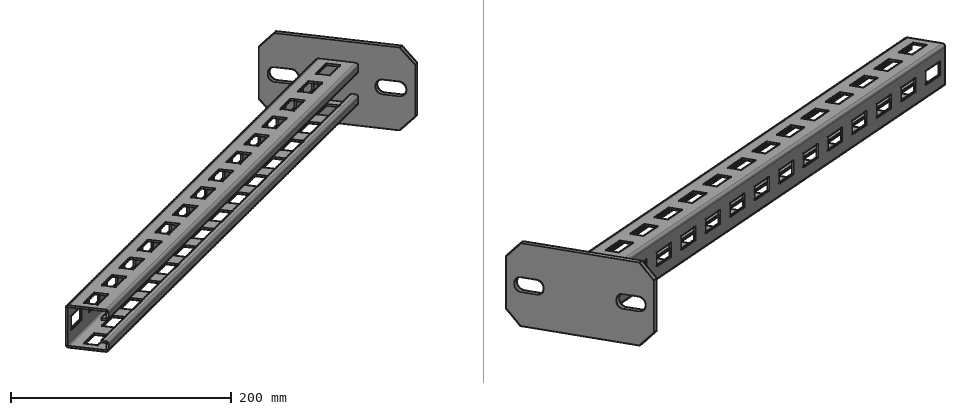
import cadquery as cq

total_length = 706.0

plate_width = 150.0
plate_height = 80.0
plate_thickness = 6.0
plate_chamfer = 15.0
bolt_slot_length = 30.0
bolt_slot_width = 14.0
bolt_slot_offset = 51.5

arm_length = total_length - plate_thickness
arm_size = 41.0
wall = 2.0
inner_bend_radius = 1.0
outer_bend_radius = inner_bend_radius + wall
mouth_height = 20.0
lip_depth = 7.0

slot_count = 14
slot_length = 30.0
slot_width = 13.5
slot_pitch = arm_length / slot_count


def build_wall_plate():
    """Plate with chamfered corners and a bolt slot on either side of the arm."""
    plate = (
        cq.Workplane("XZ")
        .rect(plate_width, plate_height)
        .extrude(plate_thickness)
        .edges("|Y")
        .chamfer(plate_chamfer)
    )
    bolt_slots = (
        cq.Workplane("XZ")
        .pushPoints([(-bolt_slot_offset, 0), (bolt_slot_offset, 0)])
        .slot2D(bolt_slot_length, bolt_slot_width)
        .extrude(plate_thickness)
    )
    return plate.cut(bolt_slots)


def fillet_bends(body, corners, radius):
    """Round the long edges at the given (x, z) corners and at their mirror images."""
    middle_y = -plate_thickness - arm_length / 2
    for x, z in corners:
        for mirrored_z in (z, -z):
            edge = cq.selectors.NearestToPointSelector((x, middle_y, mirrored_z))
            body = body.edges(edge).fillet(radius)
    return body


def build_profile():
    """Lipped C-profile, bent at the back, at the flange ends and at the lips."""
    outer = arm_size / 2
    inner = outer - wall
    lip_face = mouth_height / 2
    lip_back = lip_face + wall
    lip_end = outer - lip_depth

    outer_bends = [(-outer, outer), (outer, outer), (outer, lip_face)]
    lip_tip = [(lip_end, lip_face), (lip_end, lip_back)]
    inner_bends = [(inner, lip_back), (inner, inner), (-inner, inner)]

    upper_half = outer_bends + lip_tip + inner_bends
    lower_half = [(x, -z) for x, z in reversed(upper_half)]
    profile = (
        cq.Workplane("XZ", origin=(0, -plate_thickness, 0))
        .polyline(upper_half + lower_half)
        .close()
        .extrude(arm_length)
    )
    profile = fillet_bends(profile, inner_bends, inner_bend_radius)
    return fillet_bends(profile, outer_bends, outer_bend_radius)


def slot_cutters(size_x, size_z, centre_x):
    """Row of boxes along the arm that cut its slots."""
    first_y = -plate_thickness - slot_pitch / 2
    centres = [(centre_x, first_y - i * slot_pitch, 0) for i in range(slot_count)]
    return cq.Workplane("XY").pushPoints(centres).box(size_x, slot_length, size_z)


def build_arm():
    """Profile with a row of slots in the top flange, bottom flange and back wall."""
    flange_slots = slot_cutters(slot_width, arm_size, 0)
    back_slots = slot_cutters(2 * wall, slot_width, -arm_size / 2)
    return build_profile().cut(flange_slots).cut(back_slots)


wall_plate = build_wall_plate()
arm = build_arm()

result = cq.Compound.makeCompound([wall_plate.val(), arm.val()])